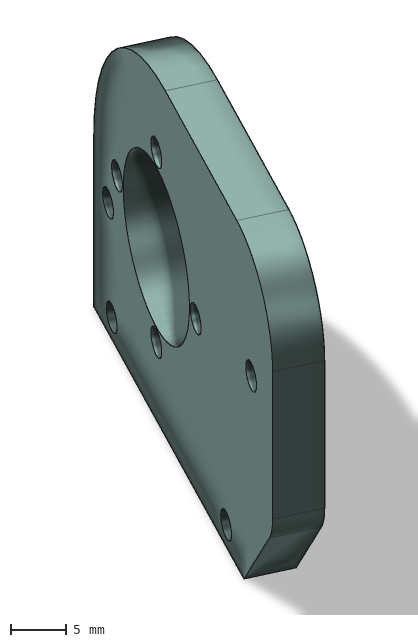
import cadquery as cq

width = 50.0
height = 40.0
thickness = 5.0
large_corner_radius = 20.0
small_corner_radius = 10.0

bottom_edge_length = 42.0
slope_top = 11.35
slope_blend_radius = 5.0

bore_x = 17.5
bore_z = 20.0
bore_diameter = 18.5
screw_circle_radius = 11.0
hole_diameter = 3.0

mounting_holes = [(4.0, 15.0), (5.0, 2.5), (37.0, 2.5), (44.0, 25.0)]


def make_plate():
    """Extrude the outline and round its three corners."""
    outline = [
        (0, 0),
        (bottom_edge_length, 0),
        (width, slope_top),
        (width, height),
        (0, height),
    ]
    plate = cq.Workplane("XZ").polyline(outline).close().extrude(-thickness)
    corners = [
        ((0, height), large_corner_radius),
        ((width, height), small_corner_radius),
        ((width, slope_top), slope_blend_radius),
    ]
    for (x, z), radius in corners:
        edge = cq.selectors.NearestToPointSelector((x, thickness / 2, z))
        plate = plate.edges("|Y").edges(edge).fillet(radius)
    return plate


def make_holes(centers, diameter):
    """Cylinders through the full thickness at the given centers."""
    return cq.Workplane("XZ").pushPoints(centers).circle(diameter / 2).extrude(-thickness)


screw_holes = [
    (bore_x + screw_circle_radius, bore_z),
    (bore_x - screw_circle_radius, bore_z),
    (bore_x, bore_z + screw_circle_radius),
    (bore_x, bore_z - screw_circle_radius),
]

result = (
    make_plate()
    .cut(make_holes([(bore_x, bore_z)], bore_diameter))
    .cut(make_holes(screw_holes + mounting_holes, hole_diameter))
)